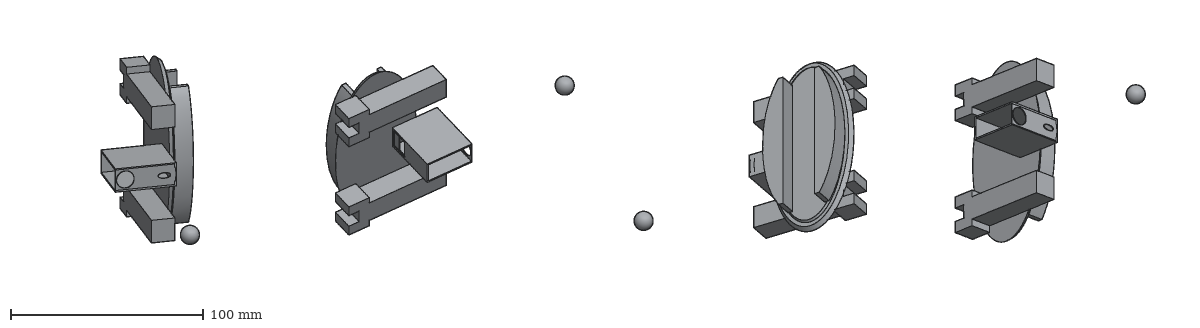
import cadquery as cq


plate_half_width = 25.3
plate_height = 101.5
base_thickness = 2.5
base_edge_inset = 1.8
step_half_width = 21.2
step_half_height = 46.6
step_thickness = 1.3
step_edge_inset = 0.8
plate_thickness = base_thickness + step_thickness

rail_depth = 10.0
rail_half_width = 21.9
rail_half_height = 46.1
rail_end_height = 38.1
rail_inner_offset = 9.6

arm_left = -plate_half_width
arm_length = 60.8
arm_size = 12.7
arm_spacing = 63.5
claw_length = arm_size
claw_height = 20.3
slot_depth = 6.4
slot_height = 7.5

box_left = 10.2
box_length = 28.0
box_height = 13.1
box_depth = 33.0
wall = 0.8
outlet_wall = 0.4
box_right = box_left + box_length
cavity_left = box_left + wall
cavity_right = box_right - outlet_wall
cavity_length = cavity_right - cavity_left
cavity_height = box_height - 2 * wall

window_start = 1.3
window_depth = 10.2
window_height = 10.6

door_depth = 5.2
door_thickness = 0.4

hollow_half_height = 4.0
hollow_length = 2.5
hollow_depth = 0.7

overall_length = 139.7
ball_radius = 5.0
ball_x = arm_left + overall_length - ball_radius
ball_y = -12.5
ball_z = -5.3

outlet_radius = 4.7
outlet_setback = 5.5
port_y = -(window_start + door_depth)
port_half_depth = 3.4
port_half_height = 1.5


def block_at(x, y, z, length, depth, height):
    """Box from its left side x and back face y, going forward, centred on height z."""
    return cq.Workplane("XY").box(length, depth, height, centered=False).translate(
        (x, y - depth, z - height / 2)
    )


def domed_oval(half_width, half_height, thickness, edge_inset, front):
    """Oval slab whose edge leans inwards towards the back."""
    return (
        cq.Workplane("XZ", origin=(0, front, 0))
        .ellipse(half_width, half_height)
        .workplane(offset=-thickness)
        .ellipse(half_width - edge_inset, half_height - edge_inset)
        .loft(ruled=True)
    )


def make_rails():
    """Two oval segments with flat inner sides and flat ends."""
    back = plate_thickness + rail_depth
    oval = (
        cq.Workplane("XZ", origin=(0, back, 0))
        .ellipse(rail_half_width, rail_half_height)
        .extrude(rail_depth)
    )
    ends = block_at(-rail_half_width, back, 0, 2 * rail_half_width, rail_depth, 2 * rail_end_height)
    gap = block_at(-rail_inner_offset, back, 0, 2 * rail_inner_offset, rail_depth, 2 * rail_end_height)
    return oval.intersect(ends).cut(gap)


def make_plate():
    base = domed_oval(
        plate_half_width, plate_height / 2, base_thickness, base_edge_inset, 0
    )
    step = domed_oval(
        step_half_width, step_half_height, step_thickness, step_edge_inset, base_thickness
    )
    return base.union(step).union(make_rails())


def make_arm(z):
    bar = block_at(arm_left, 0, z, arm_length, arm_size, arm_size)
    claw = block_at(arm_left, 0, z, claw_length, arm_size, claw_height)
    slot = block_at(arm_left, 0, z, slot_depth, arm_size, slot_height)
    return bar.union(claw).cut(slot)


def make_box():
    shell = block_at(box_left, 0, 0, box_length, box_depth, box_height)
    cavity = block_at(cavity_left, -wall, 0, cavity_length, box_depth - wall, cavity_height)
    window = block_at(box_left, -window_start, 0, wall, window_depth, window_height)
    hollow = (
        cq.Workplane("YZ", origin=(cavity_right - hollow_length, -wall, 0))
        .ellipse(hollow_depth, hollow_half_height)
        .extrude(hollow_length)
    )
    right_wall = cq.Workplane("YZ", origin=(cavity_right, 0, 0))
    outlet = (
        right_wall.center(outlet_setback - box_depth, 0).circle(outlet_radius).extrude(outlet_wall)
    )
    port = (
        right_wall.center(port_y, 0).ellipse(port_half_depth, port_half_height).extrude(outlet_wall)
    )
    return shell.cut(cavity).cut(window).cut(hollow).cut(outlet).cut(port)


def make_door():
    return block_at(box_left, -window_start, 0, door_thickness, door_depth, window_height)


def make_ball():
    return cq.Workplane("XY").sphere(ball_radius).translate((ball_x, ball_y, ball_z))


plate = make_plate()
arms = [make_arm(side * arm_spacing / 2) for side in (1, -1)]
box = make_box()
door = make_door()
ball = make_ball()

result = cq.Compound.makeCompound(
    [plate.val(), *[arm.val() for arm in arms], box.val(), door.val(), ball.val()]
)